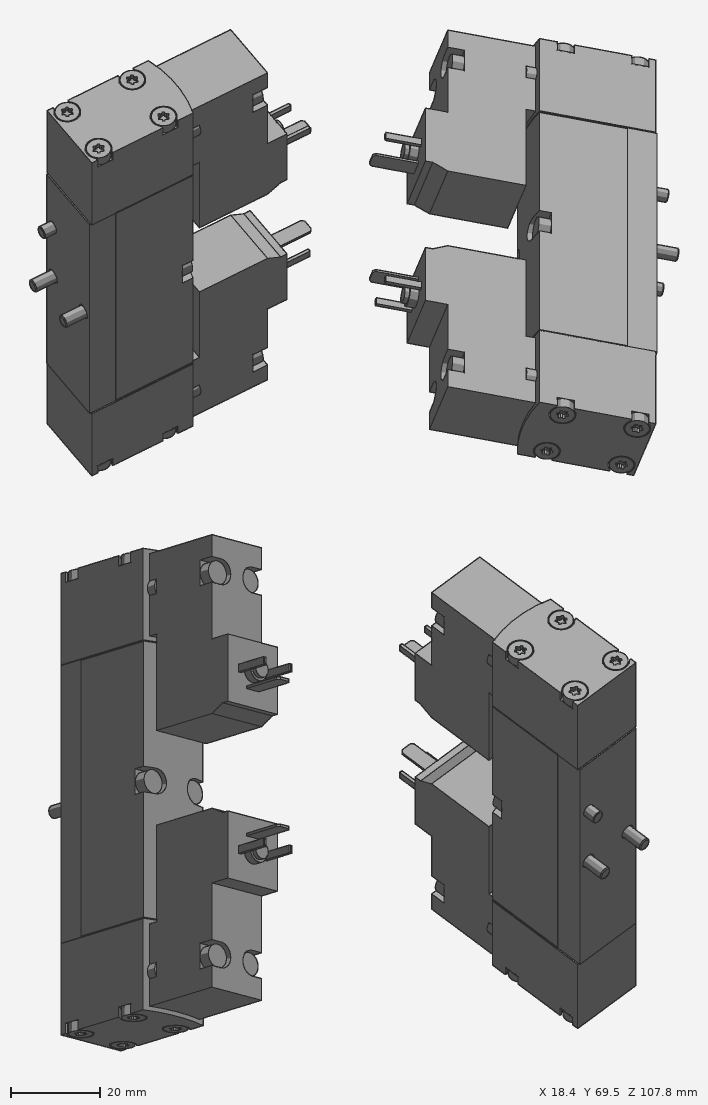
import cadquery as cq
import math


width = 18.4
height = 107.8
depth = 28.8
crown_rise = 1.4

plate_width = 17.7
plate_height = 65.0
plate_depth = 6.9
body_width = 18.2
joint_gap = 0.25
joint_inset = 0.2

block_setback = 0.35
block_screw_x = 6.45
block_screw_ys = (3.95, 21.3)
block_head_height = 2.4
block_slot_width = 4.0

head_diameter = 5.5
counterbore_diameter = 6.0
socket_core_diameter = 2.01
socket_outer_diameter = 2.74
socket_lobe_radius = 0.3
socket_lobes = 6
socket_depth = 1.2

mount_x = 6.2
pin_diameter = 3.0
mount_screw_length = 5.5
mount_hole_diameter = 3.5
mount_hole_depth = 1.0
mount_tip_chamfer = 0.25
mount_head_bottom = 24.6
mount_head_height = 2.85
locating_pin_z = 16.9
locating_pin_length = 3.15
locating_pin_root = 1.0
locating_tip_chamfer = 0.2

coil_width = 15.2
coil_top = 52.85
coil_foot_bottom = 33.6
coil_bottom = 11.05
coil_root = 27.0
coil_front = 30.1
coil_back = 48.3
connector_back = 53.5
connector_top = 28.5
connector_bottom = 12.8
connector_lip = 1.7
coil_screw_z = 44.75
coil_recess_depth = 3.9
coil_head_height = 2.75
stud_diameter = 5.5
stud_x = 5.43

terminal_z = 21.2
collar_diameter = 5.0
collar_length = 2.05
neck_diameter = 3.8
neck_length = 3.1
side_pin_spacing = 7.9
side_pin_thickness = 0.8
side_pin_height = 1.8
side_pin_length = 8.4
side_pin_chamfer = 0.2
ground_pin_z = 17.2
ground_pin_width = 3.8
ground_pin_thickness = 0.6
ground_pin_end = 64.0
ground_pin_chamfer = 0.6

SIDES = (-1, 1)


def box(x_size, y_from, y_to, z_from, z_to):
    """Box centred on X."""
    return (
        cq.Workplane("XY")
        .box(x_size, y_to - y_from, z_to - z_from, centered=(True, False, False))
        .translate((0, y_from, z_from))
    )


def cylinder_along_y(diameter, x, z, y_from, y_to):
    return cq.Workplane("XZ", origin=(x, y_from, z)).circle(diameter / 2).extrude(y_from - y_to)


def curved_column(x_size, y_front, z_from, z_to):
    """Upright column with flat sides and front, and a crowned back."""
    half = x_size / 2
    edge_y = depth - crown_rise
    return (
        cq.Workplane("XY", origin=(0, 0, z_from))
        .moveTo(-half, y_front)
        .lineTo(half, y_front)
        .lineTo(half, edge_y)
        .threePointArc((0, depth), (-half, edge_y))
        .close()
        .extrude(z_to - z_from)
    )


def central_section():
    plate = box(plate_width, 0, plate_depth, -plate_height / 2, plate_height / 2)
    body_top = plate_height / 2 - joint_gap
    body = curved_column(body_width, plate_depth, -body_top, body_top)
    joint_top = plate_height / 2
    joint = curved_column(body_width - 2 * joint_inset, plate_depth, -joint_top, joint_top)
    section = plate.union(body).union(joint)
    for side in SIDES:
        section = add_mounting_screw(section, side)
    locating_pin = cylinder_along_y(
        pin_diameter, -mount_x, locating_pin_z, -locating_pin_length, locating_pin_root
    )
    return section.union(locating_pin.faces("<Y").chamfer(locating_tip_chamfer))


def add_mounting_screw(section, side):
    """Screw through the body: tip at the front, head in a side-opening slot at the back."""
    x = side * mount_x
    hole = cylinder_along_y(mount_hole_diameter, x, 0, 0, mount_hole_depth)
    bore = cylinder_along_y(counterbore_diameter, x, 0, mount_head_bottom, depth)
    slot = side_slot(side, mount_x, width / 2, counterbore_diameter, mount_head_bottom, depth)
    slot = slot.translate((0, 0, -counterbore_diameter / 2))
    head_top = mount_head_bottom + mount_head_height
    head = cylinder_along_y(head_diameter, x, 0, mount_head_bottom, head_top)
    tip = cylinder_along_y(pin_diameter, x, 0, -mount_screw_length, mount_hole_depth)
    tip = tip.faces("<Y").chamfer(mount_tip_chamfer)
    return section.cut(hole).cut(bore).cut(slot).union(head).union(tip)


def side_slot(side, x_inner, x_outer, z_size, y_from, y_to):
    """Slot from a screw axis out through the side face, standing on Z = 0."""
    slot = box(x_outer - x_inner, y_from, y_to, 0, z_size)
    return slot.translate((side * (x_inner + x_outer) / 2, 0, 0))


def end_block():
    top = height / 2
    floor = top - block_head_height
    block = curved_column(width, block_setback, plate_height / 2, top)
    for side in SIDES:
        for y in block_screw_ys:
            x = side * block_screw_x
            bore = upright_cylinder(counterbore_diameter, x, y, floor, block_head_height)
            half_slot = block_slot_width / 2
            slot = side_slot(side, block_screw_x, width / 2, block_head_height, y - half_slot, y + half_slot)
            head = upright_cylinder(head_diameter, x, y, floor, block_head_height)
            head = head.cut(six_lobe_socket(x, y, top))
            block = block.cut(bore).cut(slot.translate((0, 0, floor))).union(head)
    return block


def upright_cylinder(diameter, x, y, z_from, length):
    return cq.Workplane("XY", origin=(x, y, z_from)).circle(diameter / 2).extrude(length)


def six_lobe_socket(x, y, top):
    floor = top - socket_depth
    socket = upright_cylinder(socket_core_diameter, x, y, floor, socket_depth)
    lobe_offset = socket_outer_diameter / 2 - socket_lobe_radius
    for index in range(socket_lobes):
        angle = math.pi / 2 + index * 2 * math.pi / socket_lobes
        lobe_x = x + lobe_offset * math.cos(angle)
        lobe_y = y + lobe_offset * math.sin(angle)
        lobe = upright_cylinder(2 * socket_lobe_radius, lobe_x, lobe_y, floor, socket_depth)
        socket = socket.union(lobe)
    return socket


def coil():
    outline = [
        (coil_root, coil_top),
        (coil_back, coil_top),
        (coil_back, connector_top),
        (connector_back, connector_top),
        (connector_back, connector_bottom),
        (connector_back - connector_lip, connector_bottom),
        (coil_back, coil_bottom),
        (coil_front, coil_bottom),
        (coil_front, coil_foot_bottom),
        (coil_root, coil_foot_bottom),
    ]
    housing = cq.Workplane("YZ").polyline(outline).close().extrude(coil_width / 2, both=True)
    for side in SIDES:
        housing = add_coil_screw(housing, side)
    return housing.union(connector())


def add_coil_screw(housing, side):
    """Screw head in a slot open to the back and side, and a round stud standing proud at the foot."""
    head_x = (coil_width - head_diameter) / 2
    floor = coil_back - coil_recess_depth
    bore = cylinder_along_y(counterbore_diameter, side * head_x, coil_screw_z, floor, coil_back)
    slot = side_slot(side, head_x, coil_width / 2, counterbore_diameter, floor, coil_back)
    slot = slot.translate((0, 0, coil_screw_z - counterbore_diameter / 2))
    head_top = floor + coil_head_height
    head = cylinder_along_y(head_diameter, side * head_x, coil_screw_z, floor, head_top)
    stud = cylinder_along_y(stud_diameter, side * stud_x, coil_screw_z, coil_root, coil_front)
    return housing.cut(bore).cut(slot).union(head).union(stud)


def connector():
    base = connector_back
    collar = cylinder_along_y(collar_diameter, 0, terminal_z, base, base + collar_length)
    neck = cylinder_along_y(neck_diameter, 0, terminal_z, base, base + neck_length)
    terminals = collar.union(neck)
    half_height = side_pin_height / 2
    for side in SIDES:
        pin = box(
            side_pin_thickness, base, base + side_pin_length,
            terminal_z - half_height, terminal_z + half_height,
        )
        pin = pin.faces(">Y").chamfer(side_pin_chamfer)
        terminals = terminals.union(pin.translate((side * side_pin_spacing / 2, 0, 0)))
    half_ground = ground_pin_thickness / 2
    ground_pin = box(
        ground_pin_width, base, ground_pin_end,
        ground_pin_z - half_ground, ground_pin_z + half_ground,
    )
    return terminals.union(ground_pin.faces(">Y").edges("|Z").chamfer(ground_pin_chamfer))


upper_end = end_block().union(coil())
result = central_section().union(upper_end).union(upper_end.mirror("XY"))